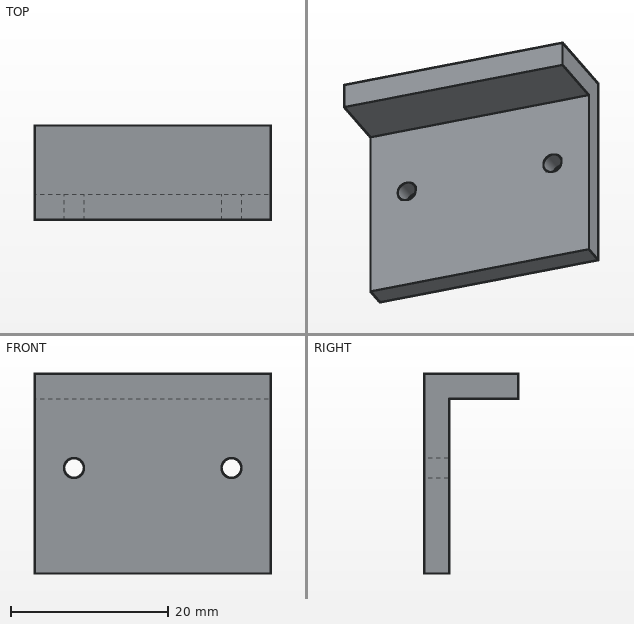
import cadquery as cq

width = 30.0
depth = 12.0
height = 25.4
thickness = 3.2

hole_diameter = 2.5
hole_spacing = 20.0
hole_drop = 12.0


def make_plate(plate_depth, bottom, top):
    """Full-width plate whose front face lies on Y = 0."""
    return (
        cq.Workplane("XY")
        .workplane(offset=bottom)
        .rect(width, plate_depth)
        .extrude(top - bottom)
        .translate((0, plate_depth / 2, 0))
    )


def make_hole(x):
    """Cylinder that pierces the upright plate along Y."""
    return cq.Workplane(
        cq.Solid.makeCylinder(
            hole_diameter / 2,
            thickness,
            cq.Vector(x, 0, height - hole_drop),
            cq.Vector(0, 1, 0),
        )
    )


upright = make_plate(thickness, 0, height)
top_flange = make_plate(depth, height - thickness, height)
result = upright.union(top_flange)

for side in (-1, 1):
    result = result.cut(make_hole(side * hole_spacing / 2))